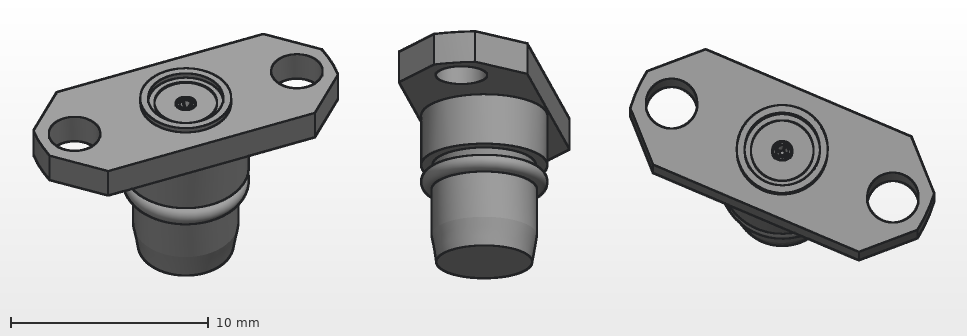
import cadquery as cq

flange_width = 6.6
flange_length = 15.98
flange_thickness = 1.65
corner_cut = 2.32
screw_hole_diameter = 2.6
screw_hole_spacing = 12.21

collar_height = 0.29
barrel_bottom = -4.3
ring_center_z = -5.2
taper_start = -8.05
body_bottom = -9.5

collar_radius = 2.3
barrel_radius = 3.2
neck_top_radius = 2.62
neck_bottom_radius = 2.41
plug_radius = 2.67
tip_radius = 2.43

ring_section_radius = 0.42
ring_rounding_start = barrel_radius - ring_section_radius

recess_radius = 1.9
insulator_radius = 1.58
insulator_drop = 0.06

contact_bore_radius = 0.51
contact_radius = 0.45
contact_drop = 0.06
contact_gap_depth = 0.16
contact_mouth_radius = 0.32
contact_floor_radius = 0.13
contact_mouth_depth = 0.32
contact_slot_width = 0.05


def disc(radius, bottom, top):
    """Upright cylinder about the Z axis."""
    return cq.Workplane("XY").workplane(offset=bottom).circle(radius).extrude(top - bottom)


def make_flange():
    """Plate with cut corners, rounded ends and two screw holes."""
    plate = (
        cq.Workplane("XY")
        .rect(flange_width, flange_length)
        .extrude(-flange_thickness)
        .edges("|Z")
        .chamfer(corner_cut)
    )
    rounded = plate.intersect(disc(flange_length / 2, -flange_thickness, 0))
    return (
        rounded.faces(">Z")
        .workplane(origin=(0, 0, 0))
        .rarray(0.16, screw_hole_spacing, 1, 2)
        .hole(screw_hole_diameter)
    )


def make_body():
    """Turned barrel with a tapered neck, plug and tip, topped by the collar."""
    profile = [
        (0, collar_height),
        (collar_radius, collar_height),
        (collar_radius, -flange_thickness),
        (barrel_radius, -flange_thickness),
        (barrel_radius, barrel_bottom),
        (neck_top_radius, barrel_bottom),
        (neck_bottom_radius, ring_center_z),
        (plug_radius, ring_center_z),
        (plug_radius, taper_start),
        (tip_radius, body_bottom),
        (0, body_bottom),
    ]
    return cq.Workplane("XZ").polyline(profile).close().revolve(360, (0, 0), (0, 1))


def make_sealing_ring():
    """Ring with flat ends and a half-round rim, seated between neck and plug."""
    top = ring_center_z + ring_section_radius
    bottom = ring_center_z - ring_section_radius
    return (
        cq.Workplane("XZ")
        .moveTo(0, bottom)
        .lineTo(ring_rounding_start, bottom)
        .threePointArc((barrel_radius, ring_center_z), (ring_rounding_start, top))
        .lineTo(0, top)
        .close()
        .revolve(360, (0, 0), (0, 1))
    )


def make_contact_cut():
    """Sunken contact: gap around it, conical mouth and two crossing slots."""
    insulator_top = -insulator_drop
    contact_top = insulator_top - contact_drop
    gap_bottom = contact_top - contact_gap_depth
    mouth_bottom = contact_top - contact_mouth_depth
    bore = disc(contact_bore_radius, gap_bottom, insulator_top)
    contact = disc(contact_radius, gap_bottom, contact_top)
    mouth = (
        cq.Workplane("XZ")
        .polyline([
            (0, contact_top),
            (contact_mouth_radius, contact_top),
            (contact_floor_radius, mouth_bottom),
            (0, mouth_bottom),
        ])
        .close()
        .revolve(360, (0, 0), (0, 1))
    )
    contact = contact.cut(mouth)
    slot_length = 2 * contact_mouth_radius
    slot = (
        cq.Workplane("XY")
        .workplane(offset=mouth_bottom)
        .rect(slot_length, contact_slot_width)
        .extrude(contact_mouth_depth)
    )
    cross_slot = slot.rotate((0, 0, 0), (0, 0, 1), 90)
    contact = contact.cut(slot).cut(cross_slot)
    return bore.cut(contact).union(mouth).union(slot).union(cross_slot)


def make_socket_cut():
    """Recess in the collar with a shallow step down to the insulator."""
    recess = disc(recess_radius, 0, collar_height)
    insulator_step = disc(insulator_radius, -insulator_drop, 0)
    return recess.union(insulator_step).union(make_contact_cut())


result = make_flange().union(make_body()).union(make_sealing_ring()).cut(make_socket_cut())